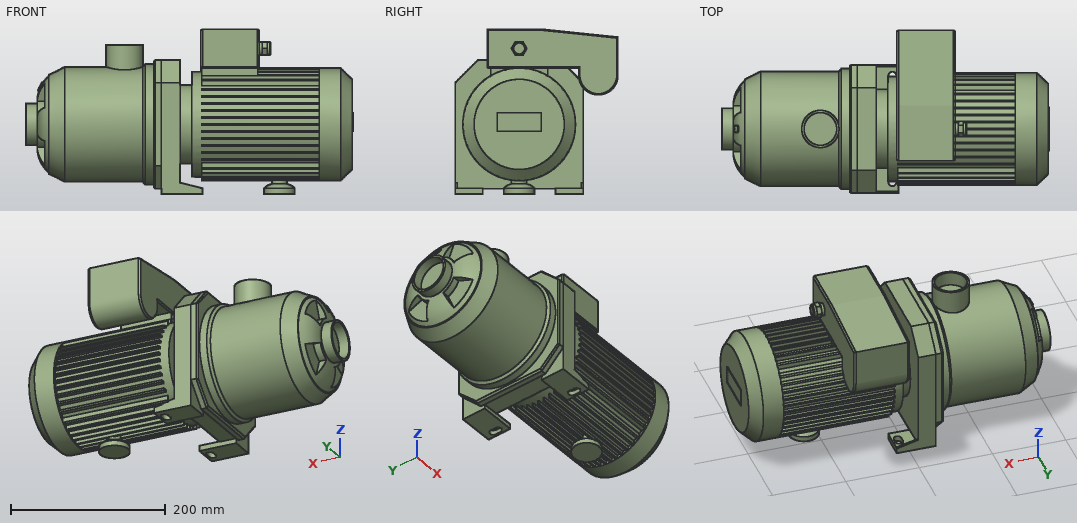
import cadquery as cq
import math


inlet_diameter = 54.0
outlet_diameter = 48.2
nozzle_wall = 3.0
nose_x = 14.5
hub_radius = 32.0
pocket_floor_x = 24.5
pocket_count = 4
pocket_angle = 45
dome_end_x = 29.5
dome_end_radius = 62.5
dome_mid_x = 18.0
dome_mid_radius = 47.5
shoulder_radius = 64.5
shoulder_end_x = 50.0
casing_radius = 149.0 / 2
collar_radius = 156.5 / 2
collar_cone_x = 151.0
collar_x = 154.5
outlet_x = 127.5
outlet_top = 103.0
outlet_floor = 83.8

plug_diameter = 10.0
plug_height = 49.0
plug_inner_x = 27.5
plug_rise = 1.3

plate_x = 165.0
bracket_x = 175.0
bracket_end_x = 199.2
flange_half_width = 83.0
flange_half_height = 83.5
flange_corner = 29.5
plate_edge_x = 2.5
plate_edge_y = 1.3
plate_edge_z = 2.5
base_z = -90.0

foot_width = 36.0
foot_end_x = 228.5
foot_thickness = 7.5
gusset_thickness = 2.5
gusset_top = -75.5
slot_width = 10.0
slot_length = 17.8
slot_x = 220.5

neck_radius = 102.5 / 2
core_x = 214.5
core_radius = 136.0 / 2
fin_x = 227.0
fin_end_x = 379.0
motor_radius = 146.0 / 2
fin_pitch = 9.05
fin_thickness = 2.0
fins_each_side = 5

cover_taper_x = 407.0
cover_end_x = 422.0
cover_end_radius = 58.5
cap_end_x = 423.0
cap_width = 56.5
cap_top = 15.2
cap_bottom = -9.0

box_x = 226.0
box_end_x = 301.5
box_front_y = -41.5
box_back_y = 127.7
box_top = 123.0
box_bottom = 72.8
roof_ridge_y = 30.0
roof_back_z = 113.0
lobe_inner_y = 77.0
lobe_bottom = 38.0
box_edge_x = 2.5
box_edge = 1.5
pedestal_half_width = 37.0
pedestal_inset = 1.5
pedestal_bottom = 59.2

gland_z = 98.0
gland_diameter = 17.0
gland_nut_corner_diameter = 20.0
gland_nut_x = 306.0
gland_nut_end_x = 312.0
gland_end_x = 317.0
gland_edge = 1.3

support_x = 328.0
support_stem_radius = 20.0 / 2
support_disc_radius = 40.0 / 2
support_disc_top = -83.0
support_stem_bottom = -77.0
support_dome_radius = 15.5
support_dome_z = -79.0


def disc(radius, x_start, x_end):
    """Cylinder on the main axis."""
    return cq.Workplane("YZ").workplane(offset=x_start).circle(radius).extrude(x_end - x_start)


def block(x_range, y_range, z_range):
    """Box given by its limits along each axis."""
    sizes = [high - low for low, high in (x_range, y_range, z_range)]
    return cq.Workplane().box(*sizes, centered=False).translate((x_range[0], y_range[0], z_range[0]))


def make_nose_pocket(middle_angle):
    """Sector around the hub that is cut away in front of the pocket floor."""
    reach = 2 * casing_radius
    start = math.radians(middle_angle - pocket_angle / 2)
    end = math.radians(middle_angle + pocket_angle / 2)
    sector = (
        cq.Workplane("YZ")
        .moveTo(0, 0)
        .lineTo(reach * math.cos(start), reach * math.sin(start))
        .lineTo(reach * math.cos(end), reach * math.sin(end))
        .close()
        .extrude(pocket_floor_x)
    )
    return sector.cut(disc(hub_radius, 0, pocket_floor_x))


def make_casing_blank():
    """Turned casing without nozzles."""
    return (
        cq.Workplane("XY")
        .moveTo(nose_x, 0)
        .lineTo(nose_x, hub_radius)
        .threePointArc((dome_mid_x, dome_mid_radius), (dome_end_x, dome_end_radius))
        .lineTo(dome_end_x, shoulder_radius)
        .lineTo(shoulder_end_x, casing_radius)
        .lineTo(collar_cone_x, casing_radius)
        .lineTo(collar_x, collar_radius)
        .lineTo(plate_x, collar_radius)
        .lineTo(plate_x, 0)
        .close()
        .revolve(360, (0, 0, 0), (1, 0, 0))
    )


def make_plug_bore():
    """Cylinder that reaches from the inner end of the plug past the nose."""
    return (
        cq.Workplane("YZ")
        .center(0, plug_height)
        .circle(plug_diameter / 2)
        .extrude(plug_inner_x)
    )


def make_casing():
    casing = make_casing_blank()
    for index in range(pocket_count):
        casing = casing.cut(make_nose_pocket((index + 0.5) * 360 / pocket_count))
    inlet = disc(inlet_diameter / 2, 0, nose_x)
    inlet_bore = disc(inlet_diameter / 2 - nozzle_wall, 0, nose_x)
    outlet_plane = cq.Workplane("XY").center(outlet_x, 0)
    outlet = outlet_plane.circle(outlet_diameter / 2).extrude(outlet_top)
    outlet_bore = (
        outlet_plane.workplane(offset=outlet_floor)
        .circle(outlet_diameter / 2 - nozzle_wall)
        .extrude(outlet_top - outlet_floor)
    )
    return casing.union(inlet).union(outlet).cut(inlet_bore).cut(outlet_bore).cut(make_plug_bore())


def make_vent_plug():
    """Plug whose outer end follows the dome and stands slightly proud of it."""
    return make_plug_bore().intersect(make_casing_blank().translate((-plug_rise, 0, 0)))


def octagon(x_position, inset_y, inset_z):
    """Closed outline of the flange with cut corners, its straight sides moved inward by the insets."""
    half_width = flange_half_width - inset_y
    half_height = flange_half_height - inset_z
    corner_y = flange_half_width - flange_corner
    corner_z = flange_half_height - flange_corner
    quarter = [(half_width, corner_z), (corner_y, half_height)]
    left_top = [(-y, z) for y, z in reversed(quarter)]
    upper = quarter + left_top
    lower = [(-y, -z) for y, z in upper]
    return cq.Wire.makePolygon([cq.Vector(x_position, y, z) for y, z in upper + lower], close=True)


def make_flange_plate():
    """Octagonal plate with a bevel around its front face."""
    front_outline = octagon(plate_x, plate_edge_y, plate_edge_z)
    bevel_outline = octagon(plate_x + plate_edge_x, 0, 0)
    back_outline = octagon(bracket_x, 0, 0)
    bevel = cq.Solid.makeLoft([front_outline, bevel_outline], True)
    body = cq.Solid.makeLoft([bevel_outline, back_outline], True)
    return cq.Workplane(bevel.fuse(body))


def make_foot(side):
    """Slotted foot with a sloping gusset along its outer edge; side is 1 or -1 along Y."""
    inner_y = flange_half_width - foot_width
    foot_top = base_z + foot_thickness
    foot = block((bracket_x, foot_end_x), (inner_y, flange_half_width), (base_z, foot_top))
    leg = block((bracket_x, bracket_end_x), (inner_y, flange_half_width), (base_z, 0))
    gusset = (
        cq.Workplane("XZ", origin=(0, flange_half_width, 0))
        .moveTo(bracket_end_x, base_z)
        .lineTo(bracket_end_x, gusset_top)
        .lineTo(foot_end_x, foot_top)
        .lineTo(foot_end_x, base_z)
        .close()
        .extrude(gusset_thickness)
    )
    slot = (
        cq.Workplane("XY", origin=(slot_x, flange_half_width - foot_width / 2, base_z))
        .slot2D(slot_length, slot_width, 90)
        .extrude(foot_thickness)
    )
    foot = foot.union(leg).union(gusset).cut(slot)
    return foot if side > 0 else foot.mirror("XZ")


def make_bracket():
    bracket = block(
        (bracket_x, bracket_end_x),
        (-flange_half_width, flange_half_width),
        (-flange_half_height, flange_half_height),
    )
    bracket = bracket.edges("|X and >Z").chamfer(flange_corner)
    return bracket.union(make_foot(1)).union(make_foot(-1))


def make_fins():
    """Flat fins in two crossing directions, trimmed to the motor radius; the core fills their middle."""
    reach = (-motor_radius, motor_radius)
    length = (fin_x, fin_end_x)
    envelope = disc(motor_radius, fin_x, fin_end_x)
    fins = []
    for index in range(-fins_each_side, fins_each_side + 1):
        low = index * fin_pitch - fin_thickness / 2
        span = (low, low + fin_thickness)
        fins.append(block(length, reach, span).intersect(envelope))
        fins.append(block(length, span, reach).intersect(envelope))
    return fins


def make_motor():
    motor = disc(neck_radius, bracket_end_x, core_x).union(disc(core_radius, core_x, fin_end_x))
    for fin in make_fins():
        motor = motor.union(fin)
    return motor


def make_fan_cover():
    return (
        cq.Workplane("XY")
        .moveTo(fin_end_x, 0)
        .lineTo(fin_end_x, motor_radius)
        .lineTo(cover_taper_x, motor_radius)
        .lineTo(cover_end_x, cover_end_radius)
        .lineTo(cover_end_x, 0)
        .close()
        .revolve(360, (0, 0, 0), (1, 0, 0))
    )


def make_end_cap():
    return block((cover_end_x, cap_end_x), (-cap_width / 2, cap_width / 2), (cap_bottom, cap_top))


def make_terminal_box(motor):
    """Box with a sloping roof, a round-bottomed lobe beside the motor and a pedestal on the fins."""
    lobe_radius = (box_back_y - lobe_inner_y) / 2
    lobe_z = lobe_bottom + lobe_radius
    box = (
        cq.Workplane("YZ", origin=(box_x, 0, 0))
        .moveTo(box_front_y + box_edge, box_bottom)
        .lineTo(box_front_y, box_bottom + box_edge)
        .lineTo(box_front_y, box_top)
        .lineTo(roof_ridge_y, box_top)
        .lineTo(box_back_y, roof_back_z)
        .lineTo(box_back_y, lobe_z)
        .threePointArc((box_back_y - lobe_radius, lobe_bottom), (lobe_inner_y, lobe_z))
        .lineTo(lobe_inner_y, box_bottom)
        .close()
        .extrude(box_end_x - box_x)
    )
    box = box.faces("<X or >X").chamfer(box_edge_x, box_edge)
    pedestal = block(
        (fin_x, box_end_x - pedestal_inset),
        (-pedestal_half_width, pedestal_half_width),
        (pedestal_bottom, box_bottom),
    )
    return box.union(pedestal).cut(motor)


def make_cable_gland():
    barrel = disc(gland_diameter / 2, box_end_x, gland_end_x).faces(">X").chamfer(gland_edge)
    nut = (
        cq.Workplane("YZ", origin=(gland_nut_x, 0, 0))
        .polygon(6, gland_nut_corner_diameter)
        .extrude(gland_nut_end_x - gland_nut_x)
    )
    return barrel.union(nut).translate((0, 0, gland_z))


def make_support(motor):
    support = (
        cq.Workplane("XZ")
        .moveTo(0, base_z)
        .lineTo(support_disc_radius, base_z)
        .lineTo(support_disc_radius, support_disc_top)
        .threePointArc((support_dome_radius, support_dome_z), (support_stem_radius, support_stem_bottom))
        .lineTo(support_stem_radius, -core_radius)
        .lineTo(0, -core_radius)
        .close()
        .revolve(360, (0, 0, 0), (0, 1, 0))
        .translate((support_x, 0, 0))
    )
    return support.cut(motor)


casing = make_casing()
vent_plug = make_vent_plug()
flange_plate = make_flange_plate()
bracket = make_bracket()
motor = make_motor()
fan_cover = make_fan_cover()
end_cap = make_end_cap()
terminal_box = make_terminal_box(motor)
cable_gland = make_cable_gland()
support = make_support(motor)

result = cq.Compound.makeCompound(
    [
        casing.val(),
        vent_plug.val(),
        flange_plate.val(),
        bracket.val(),
        motor.val(),
        fan_cover.val(),
        end_cap.val(),
        terminal_box.val(),
        cable_gland.val(),
        support.val(),
    ]
)